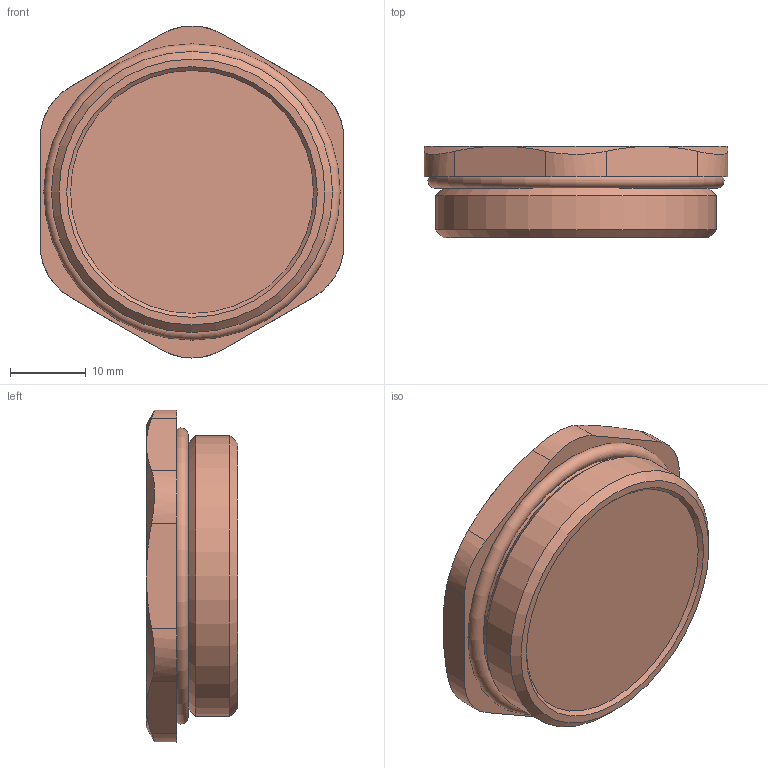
import cadquery as cq
import math

across_flats = 40.0
head_thickness = 4.0
corner_radius = 8.0
head_chamfer_angle = 30.0

body_diameter = 37.0
body_length = 8.0
body_chamfer = 1.0

ring_section_diameter = 2.0
ring_projection = 1.5

recess_mouth_diameter = 33.0
recess_floor_diameter = 32.0
recess_depth = 0.5

total_length = body_length + head_thickness
across_corners = across_flats / math.cos(math.radians(30))
body_radius = body_diameter / 2
undercut_radius = body_radius - body_chamfer
undercut_start = body_length - ring_projection
ring_section_radius = ring_section_diameter / 2
ring_center_radius = undercut_radius + ring_section_radius
ring_center_y = undercut_start + ring_section_radius
ring_sunk_depth = body_length - ring_center_y
ring_seat_radius = ring_center_radius + math.sqrt(ring_section_radius**2 - ring_sunk_depth**2)


def revolve_about_y(profile):
    """Turn a closed (radius, y) profile once around the Y axis."""
    return profile.close().revolve(360, (0, 0, 0), (0, 1, 0))


def make_head():
    """Rounded hexagon whose back face is chamfered by a cone touching the flats."""
    hexagon = (
        cq.Workplane("XZ", origin=(0, total_length, 0))
        .transformed(rotate=(0, 0, 90))
        .polygon(6, across_corners)
        .extrude(head_thickness)
        .edges("|Y")
        .fillet(corner_radius)
    )
    cone_back_radius = across_flats / 2
    cone_flare = head_thickness / math.tan(math.radians(head_chamfer_angle))
    cone = revolve_about_y(
        cq.Workplane("XY")
        .moveTo(0, body_length)
        .lineTo(cone_back_radius + cone_flare, body_length)
        .lineTo(cone_back_radius, total_length)
        .lineTo(0, total_length)
    )
    return hexagon.intersect(cone)


def make_body():
    """Turned plug with a front recess, chamfered ends and an undercut below the head."""
    return revolve_about_y(
        cq.Workplane("XY")
        .moveTo(0, recess_depth)
        .lineTo(recess_floor_diameter / 2, recess_depth)
        .lineTo(recess_mouth_diameter / 2, 0)
        .lineTo(body_radius - body_chamfer, 0)
        .lineTo(body_radius, body_chamfer)
        .lineTo(body_radius, undercut_start - body_chamfer)
        .lineTo(undercut_radius, undercut_start)
        .lineTo(undercut_radius, body_length)
        .lineTo(0, body_length)
    )


def make_ring():
    """Exposed round of the sealing ring, made solid back to the undercut and the head."""
    return revolve_about_y(
        cq.Workplane("XY")
        .moveTo(undercut_radius, body_length)
        .lineTo(undercut_radius, ring_center_y)
        .threePointArc((ring_center_radius, undercut_start), (ring_seat_radius, body_length))
    )


result = make_head().union(make_body()).union(make_ring())